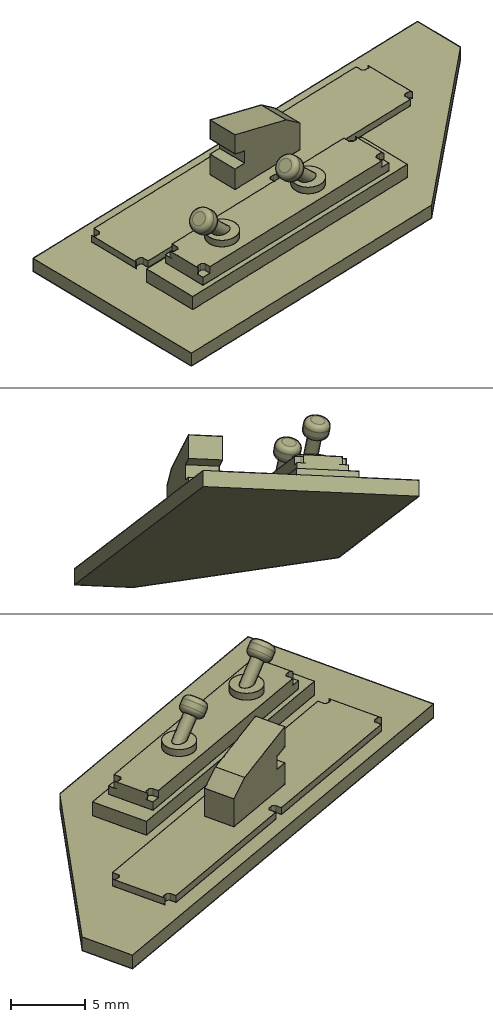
import cadquery as cq
import math

PLATE_WIDTH = 14.95
PLATE_LENGTH = 36.8
PLATE_THICKNESS = 1.1
PLATE_END_WIDTH = 4.05
PLATE_STRAIGHT_SIDE = 23.0

NOTCH_SIZE = 0.65
NOTCH_FILLET = 0.22

LEVER_PANEL_X = 1.1
LEVER_PANEL_Y = 4.05
LEVER_PANEL_WIDTH = 5.1
LEVER_PANEL_LENGTH = 26.42
LEVER_PANEL_THICKNESS = 0.55

BLOCK_WIDTH = 2.35
BLOCK_LENGTH = 6.22
BLOCK_FRONT_Y = 14.43
BLOCK_HEIGHT = 4.65
BLOCK_REAR_HEIGHT = 2.25
BLOCK_BEVEL_LENGTH = 1.32
BLOCK_BEVEL_TOP = 3.25
LIP_BOTTOM = 3.0
LIP_DEPTH = 0.92
LEDGE_HEIGHT = 1.73

RISER_X = 7.3
RISER_Y = 3.5
RISER_WIDTH = 4.35
RISER_LENGTH = 20.55
RISER_HEIGHT = 1.1
SWITCH_PANEL_WIDTH = 3.57
SWITCH_PANEL_LENGTH = 17.77
SWITCH_PANEL_THICKNESS = 1.2
SWITCH_NOTCH_DEPTH = 0.55

COLLAR_DIAMETER = 2.35
COLLAR_HEIGHT = 0.55
TOGGLE_SPACING = 8.25
TOGGLE_OFFSET = -1.15
STEM_DIAMETER = 0.95
STEM_OFFSET = -0.07
STEM_LENGTH = 1.75
LEAN_ANGLE = 45.0
KNOB_DIAMETER = 1.8
KNOB_LENGTH = 1.25
KNOB_FILLET = 0.4

PANEL_TOP = PLATE_THICKNESS + LEVER_PANEL_THICKNESS
LEVER_PANEL_CENTER_X = LEVER_PANEL_X + LEVER_PANEL_WIDTH / 2
LEVER_PANEL_CENTER_Y = LEVER_PANEL_Y + LEVER_PANEL_LENGTH / 2
RISER_CENTER_X = RISER_X + RISER_WIDTH / 2
RISER_CENTER_Y = RISER_Y + RISER_LENGTH / 2
RISER_TOP = PLATE_THICKNESS + RISER_HEIGHT
SWITCH_PANEL_TOP = RISER_TOP + SWITCH_PANEL_THICKNESS
COLLAR_TOP = SWITCH_PANEL_TOP + COLLAR_HEIGHT


def centered_box(width, length, height, x, y, bottom):
    """Box centred on (x, y), standing on the height `bottom`."""
    return cq.Workplane("XY", origin=(x, y, bottom)).rect(width, length).extrude(height)


def cut_notches(panel, x, y, width, rows, top, depth):
    """Cut a notch into both long sides of a panel at each row's distance from its middle."""
    for side in (-1, 1):
        for row in rows:
            notch = centered_box(
                2 * NOTCH_SIZE, NOTCH_SIZE, depth, x + side * width / 2, y + row, top - depth
            ).edges("|Z").fillet(NOTCH_FILLET)
            panel = panel.cut(notch)
    return panel


def end_notch_row(length):
    """Distance from a panel's middle to the notches that end flush with its short sides."""
    return (length - NOTCH_SIZE) / 2


def make_plate():
    outline = [
        (0, 0),
        (PLATE_WIDTH, 0),
        (PLATE_WIDTH, PLATE_STRAIGHT_SIDE),
        (PLATE_END_WIDTH, PLATE_LENGTH),
        (0, PLATE_LENGTH),
    ]
    return cq.Workplane("XY").polyline(outline).close().extrude(PLATE_THICKNESS)


def make_lever_panel():
    panel = centered_box(
        LEVER_PANEL_WIDTH, LEVER_PANEL_LENGTH, LEVER_PANEL_THICKNESS,
        LEVER_PANEL_CENTER_X, LEVER_PANEL_CENTER_Y, PLATE_THICKNESS,
    )
    end_row = end_notch_row(LEVER_PANEL_LENGTH)
    return cut_notches(
        panel, LEVER_PANEL_CENTER_X, LEVER_PANEL_CENTER_Y, LEVER_PANEL_WIDTH,
        (-end_row, 0, end_row), PANEL_TOP, LEVER_PANEL_THICKNESS,
    )


def make_lever_block():
    slope = (BLOCK_HEIGHT - BLOCK_BEVEL_TOP) / (BLOCK_LENGTH - BLOCK_BEVEL_LENGTH)
    side_profile = [
        (0, 0),
        (0, LEDGE_HEIGHT),
        (LIP_DEPTH, LEDGE_HEIGHT),
        (LIP_DEPTH, LIP_BOTTOM - slope * LIP_DEPTH),
        (0, LIP_BOTTOM),
        (0, BLOCK_HEIGHT),
        (BLOCK_LENGTH - BLOCK_BEVEL_LENGTH, BLOCK_BEVEL_TOP),
        (BLOCK_LENGTH, BLOCK_REAR_HEIGHT),
        (BLOCK_LENGTH, 0),
    ]
    left_side = (LEVER_PANEL_CENTER_X - BLOCK_WIDTH / 2, BLOCK_FRONT_Y, PANEL_TOP)
    return cq.Workplane("YZ", origin=left_side).polyline(side_profile).close().extrude(BLOCK_WIDTH)


def make_console():
    """Base plate with the notched lever panel and the lever block."""
    return make_plate().union(make_lever_panel()).union(make_lever_block())


def make_switch_panel():
    panel = centered_box(
        SWITCH_PANEL_WIDTH, SWITCH_PANEL_LENGTH, SWITCH_PANEL_THICKNESS,
        RISER_CENTER_X, RISER_CENTER_Y, RISER_TOP,
    )
    end_row = end_notch_row(SWITCH_PANEL_LENGTH)
    return cut_notches(
        panel, RISER_CENTER_X, RISER_CENTER_Y, SWITCH_PANEL_WIDTH,
        (-end_row, end_row), SWITCH_PANEL_TOP, SWITCH_NOTCH_DEPTH,
    )


def make_toggle(y):
    """Collar on the switch panel with a leaning stem and a rounded knob."""
    collar = (
        cq.Workplane("XY", origin=(RISER_CENTER_X, y, SWITCH_PANEL_TOP))
        .circle(COLLAR_DIAMETER / 2)
        .extrude(COLLAR_HEIGHT)
    )
    lean = math.radians(LEAN_ANGLE)
    stem_plane = cq.Plane(
        origin=(RISER_CENTER_X, y + STEM_OFFSET, COLLAR_TOP),
        xDir=(1, 0, 0),
        normal=(0, -math.sin(lean), math.cos(lean)),
    )
    stem = (
        cq.Workplane(stem_plane)
        .workplane(offset=-STEM_DIAMETER)
        .circle(STEM_DIAMETER / 2)
        .extrude(STEM_DIAMETER + STEM_LENGTH)
    )
    knob = (
        cq.Workplane(stem_plane)
        .workplane(offset=STEM_LENGTH)
        .circle(KNOB_DIAMETER / 2)
        .extrude(KNOB_LENGTH)
        .edges()
        .fillet(KNOB_FILLET)
    )
    return collar.union(stem).union(knob)


def make_switch_module():
    """Riser and switch panel with two toggles, standing on the base plate."""
    module = centered_box(
        RISER_WIDTH, RISER_LENGTH, RISER_HEIGHT, RISER_CENTER_X, RISER_CENTER_Y, PLATE_THICKNESS
    ).union(make_switch_panel())
    for side in (-1, 1):
        toggle_y = RISER_CENTER_Y + TOGGLE_OFFSET + side * TOGGLE_SPACING / 2
        module = module.union(make_toggle(toggle_y))
    return module


console = make_console()
switch_module = make_switch_module()
result = cq.Compound.makeCompound([console.solids().val(), switch_module.solids().val()])